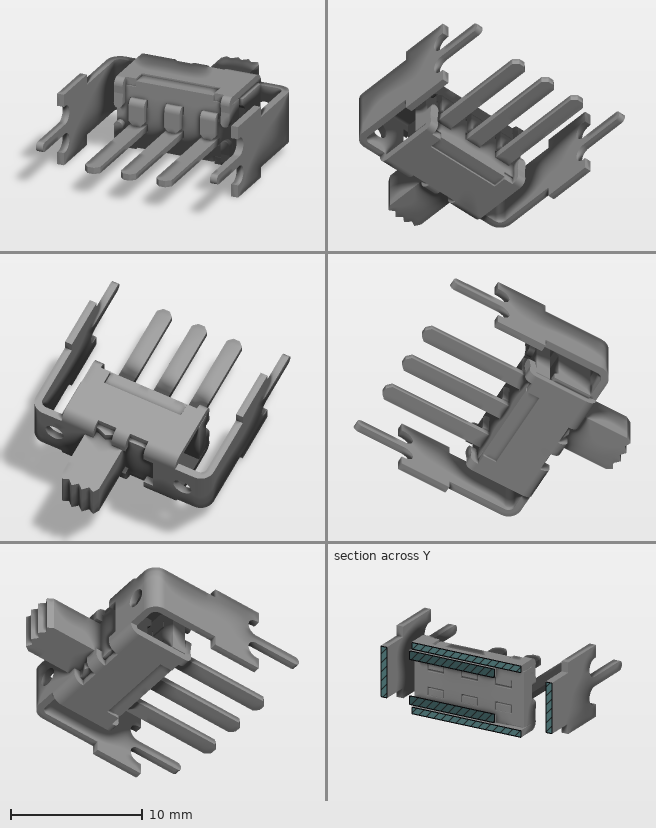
import cadquery as cq
import math

OVERALL_DEPTH = 18.67
LEVER_TIP_Y = 4.54
OVER = 0.19

SHEET = 0.58
FRAME_HALF_LENGTH = 7.58
FRAME_HALF_HEIGHT = 5.88 / 2
LEG_BEND_RADIUS = 1.1
COVER_HALF_LENGTH = 4.84
COVER_BEND_RADIUS = 0.84
COVER_INNER_BEND_RADIUS = 0.19
COVER_END_Y = -5.17
PLATE_HALF_HEIGHT = 2.1

WING_START_Y = -6.03
WING_END_Y = -10.23
RELIEF_DIAMETER = 1.53
RELIEF_BOTTOM_Y = -9.25
FINGER_WIDTH = 0.78
FINGER_END_Y = LEVER_TIP_Y - OVERALL_DEPTH

MOUNTING_HOLE_DIAMETER = 1.53
MOUNTING_HOLE_X = 5.45
WINDOW_HALF_LENGTH = 2.95
WINDOW_HALF_HEIGHT = 1.6
NOTCH_WIDTH = 1.57
NOTCH_X = 1.36
CUTOUT_HALF_LENGTH = 3.29
CUTOUT_START_Y = -4.07

TAB_WIDTH = 0.73
TAB_TIP_Z = 0.58
TAB_KINK_Z = 1.75
TAB_KINK_RISE = 0.05
TAB_FLARE = 0.13

BASE_FRONT_Y = CUTOUT_START_Y
BASE_BACK_Y = -5.25
BASE_HALF_HEIGHT = 2.28
BOSS_HALF_LENGTH = 3.23
BOSS_HALF_HEIGHT = 2.76
SLOT_WIDTH = 1.51
SLOT_OUTER_Z = 1.36
SLOT_INNER_Z = 0.63

TERMINAL_COUNT = 3
TERMINAL_PITCH = 2.99
TERMINAL_WIDTH = 1.29
TERMINAL_THICKNESS = 0.52
PIN_TOP_Z = -0.78
PIN_END_Y = FINGER_END_Y
HOOK_TAPER = 0.37
PIN_CHAMFER = 0.37
PIN_EDGE_RADIUS = 0.07

SLIDER_OFFSET = 1.29
SLIDER_HALF_LENGTH = 3.79
SLIDER_HALF_HEIGHT = 2.22
SLIDER_FRONT_Y = -0.6
SLIDER_BACK_Y = -3.8
CHANNEL_MOUTH_HALF = 1.66
CHANNEL_FLOOR_HALF = 1.29
CHANNEL_DEPTH = 0.37
LEVER_HALF_LENGTH = 1.59
LEVER_HALF_HEIGHT = 1.57
DETENT_HALF_LENGTH = 0.7
DETENT_HEIGHT = 0.3

COVER_INNER_Z = FRAME_HALF_HEIGHT - SHEET


def box(x_min, x_max, y_min, y_max, z_min, z_max):
    """Block given by its limits along each axis."""
    size = (x_max - x_min, y_max - y_min, z_max - z_min)
    return cq.Workplane("XY").box(*size, centered=False).translate((x_min, y_min, z_min))


def centered_box(half_length, y_min, y_max, half_height):
    """Block that is symmetric about x = 0 and z = 0."""
    return box(-half_length, half_length, y_min, y_max, -half_height, half_height)


def make_cover():
    """Channel round the switch: front wall, top and bottom, open at both ends."""
    shell = centered_box(COVER_HALF_LENGTH, COVER_END_Y, 0, FRAME_HALF_HEIGHT)
    shell = shell.edges("|X and >Y").fillet(COVER_BEND_RADIUS)
    room = centered_box(COVER_HALF_LENGTH + OVER, COVER_END_Y - OVER, -SHEET, COVER_INNER_Z)
    room = room.edges("|X and >Y").fillet(COVER_INNER_BEND_RADIUS)
    return shell.cut(room)


def leg_outline():
    """Side outline of a leg, with two round reliefs that leave a finger between them."""
    relief_radius = RELIEF_DIAMETER / 2
    relief_y = RELIEF_BOTTOM_Y - relief_radius
    finger_half = FINGER_WIDTH / 2
    relief_outer_z = finger_half + RELIEF_DIAMETER
    relief_middle_z = finger_half + relief_radius
    finger_arc_y = FINGER_END_Y + finger_half
    outline = (
        cq.Workplane("YZ")
        .moveTo(0, PLATE_HALF_HEIGHT)
        .lineTo(WING_START_Y, PLATE_HALF_HEIGHT)
        .lineTo(WING_START_Y, FRAME_HALF_HEIGHT)
        .lineTo(WING_END_Y, FRAME_HALF_HEIGHT)
        .lineTo(WING_END_Y, relief_outer_z)
        .lineTo(relief_y, relief_outer_z)
        .threePointArc((RELIEF_BOTTOM_Y, relief_middle_z), (relief_y, finger_half))
        .lineTo(finger_arc_y, finger_half)
        .threePointArc((FINGER_END_Y, 0), (finger_arc_y, -finger_half))
        .lineTo(relief_y, -finger_half)
        .threePointArc((RELIEF_BOTTOM_Y, -relief_middle_z), (relief_y, -relief_outer_z))
        .lineTo(WING_END_Y, -relief_outer_z)
        .lineTo(WING_END_Y, -FRAME_HALF_HEIGHT)
        .lineTo(WING_START_Y, -FRAME_HALF_HEIGHT)
        .lineTo(WING_START_Y, -PLATE_HALF_HEIGHT)
        .lineTo(0, -PLATE_HALF_HEIGHT)
        .close()
    )
    return outline.extrude(FRAME_HALF_LENGTH, both=True)


def make_bracket():
    """Front plate bent back into a leg at each end."""
    strip = centered_box(FRAME_HALF_LENGTH, FINGER_END_Y, 0, FRAME_HALF_HEIGHT)
    strip = strip.edges("|Z and >Y").fillet(LEG_BEND_RADIUS)
    inner_half_length = FRAME_HALF_LENGTH - SHEET
    room = centered_box(inner_half_length, FINGER_END_Y - OVER, -SHEET, FRAME_HALF_HEIGHT + OVER)
    room = room.edges("|Z and >Y").fillet(LEG_BEND_RADIUS - SHEET)
    return strip.cut(room).intersect(leg_outline())


def make_tab():
    """Corner tab at +X, +Z: bent down over the base, leaning in and then flaring out."""
    outer_y = BASE_BACK_Y - SHEET
    bend_middle = SHEET / math.sqrt(2)
    tab = (
        cq.Workplane("YZ")
        .moveTo(COVER_END_Y, COVER_INNER_Z)
        .lineTo(COVER_END_Y, FRAME_HALF_HEIGHT)
        .lineTo(BASE_BACK_Y, FRAME_HALF_HEIGHT)
        .threePointArc(
            (BASE_BACK_Y - bend_middle, COVER_INNER_Z + bend_middle),
            (outer_y, COVER_INNER_Z),
        )
        .lineTo(outer_y + TAB_KINK_RISE, TAB_KINK_Z)
        .lineTo(outer_y + TAB_KINK_RISE - TAB_FLARE, TAB_TIP_Z)
        .lineTo(BASE_BACK_Y - TAB_FLARE, TAB_TIP_Z)
        .lineTo(BASE_BACK_Y, TAB_KINK_Z)
        .lineTo(BASE_BACK_Y, COVER_INNER_Z)
        .close()
        .extrude(TAB_WIDTH)
    )
    tip_radius = TAB_WIDTH / 2
    tip_center_z = TAB_TIP_Z + tip_radius
    rounded = (
        cq.Workplane("XZ")
        .moveTo(0, FRAME_HALF_HEIGHT)
        .lineTo(0, tip_center_z)
        .threePointArc((tip_radius, TAB_TIP_Z), (TAB_WIDTH, tip_center_z))
        .lineTo(TAB_WIDTH, FRAME_HALF_HEIGHT)
        .close()
        .extrude(-2 * BASE_BACK_Y)
    )
    return tab.intersect(rounded).translate((COVER_HALF_LENGTH - TAB_WIDTH, 0, 0))


def make_frame():
    frame = make_cover().union(make_bracket())

    tab = make_tab()
    for tab_row in (tab, tab.mirror("XY")):
        frame = frame.union(tab_row).union(tab_row.mirror("YZ"))

    frame = frame.cut(centered_box(WINDOW_HALF_LENGTH, -SHEET - OVER, OVER, WINDOW_HALF_HEIGHT))
    notch = centered_box(NOTCH_WIDTH / 2, -COVER_BEND_RADIUS, OVER, FRAME_HALF_HEIGHT + OVER)
    for side in (-1, 1):
        frame = frame.cut(notch.translate((side * NOTCH_X, 0, 0)))

    frame = frame.cut(
        centered_box(CUTOUT_HALF_LENGTH, COVER_END_Y - OVER, CUTOUT_START_Y, FRAME_HALF_HEIGHT + OVER)
    )

    holes = (
        cq.Workplane("XZ")
        .pushPoints([(-MOUNTING_HOLE_X, 0), (MOUNTING_HOLE_X, 0)])
        .circle(MOUNTING_HOLE_DIAMETER / 2)
        .extrude(SHEET + OVER)
    )
    return frame.cut(holes)


def make_hook():
    """Arm through the upper slot that bends down behind the base to a tapered tip."""
    hook_back_y = BASE_BACK_Y - TERMINAL_THICKNESS
    arm_bottom_z = SLOT_OUTER_Z - TERMINAL_THICKNESS
    bend_middle = TERMINAL_THICKNESS / math.sqrt(2)
    hook = (
        cq.Workplane("YZ")
        .moveTo(BASE_FRONT_Y, arm_bottom_z)
        .lineTo(BASE_FRONT_Y, SLOT_OUTER_Z)
        .lineTo(BASE_BACK_Y, SLOT_OUTER_Z)
        .threePointArc(
            (BASE_BACK_Y - bend_middle, arm_bottom_z + bend_middle),
            (hook_back_y, arm_bottom_z),
        )
        .lineTo(hook_back_y, PIN_TOP_Z)
        .lineTo(BASE_BACK_Y, PIN_TOP_Z)
        .lineTo(BASE_BACK_Y, arm_bottom_z)
        .close()
        .extrude(TERMINAL_WIDTH / 2, both=True)
    )
    return hook.edges("|Y and <Z").chamfer(HOOK_TAPER)


def make_pin():
    """Straight pin through the lower slot, with a chamfered end."""
    half_width = TERMINAL_WIDTH / 2
    bottom_z = PIN_TOP_Z - TERMINAL_THICKNESS
    pin = box(-half_width, half_width, PIN_END_Y, BASE_FRONT_Y, bottom_z, PIN_TOP_Z)
    pin = pin.edges("|Z and <Y").chamfer(PIN_CHAMFER)
    return pin.edges("|Z and (not >Y)").fillet(PIN_EDGE_RADIUS)


def make_base():
    """Insulating block that closes the cover and carries the terminals."""
    base = centered_box(COVER_HALF_LENGTH, BASE_BACK_Y, BASE_FRONT_Y, BASE_HALF_HEIGHT)
    base = base.union(centered_box(BOSS_HALF_LENGTH, BASE_BACK_Y, BASE_FRONT_Y, BOSS_HALF_HEIGHT))

    half_slot = SLOT_WIDTH / 2
    slot = box(
        -half_slot, half_slot, BASE_BACK_Y - OVER, BASE_FRONT_Y + OVER, SLOT_INNER_Z, SLOT_OUTER_Z
    )
    terminal = make_hook().union(make_pin())
    for index in range(TERMINAL_COUNT):
        place = ((index - (TERMINAL_COUNT - 1) / 2) * TERMINAL_PITCH, 0, 0)
        base = base.cut(slot.translate(place)).cut(slot.mirror("XY").translate(place))
        base = base.union(terminal.translate(place))
    return base


def make_lever():
    """Lever through the window, with a serrated thumb grip at its tip."""
    shoulder = (LEVER_HALF_LENGTH, 0.65)
    side_peak = (1.3, 0.19)
    side_valley = (0.85, 0.43)
    main_peak = (0.43, 0)
    middle_valley = (0, 0.37)
    half_grip = [shoulder, side_peak, side_valley, main_peak]
    left = [(-x, LEVER_TIP_Y - depth) for x, depth in half_grip]
    middle = [(middle_valley[0], LEVER_TIP_Y - middle_valley[1])]
    right = [(x, LEVER_TIP_Y - depth) for x, depth in reversed(half_grip)]
    root = [(LEVER_HALF_LENGTH, SLIDER_FRONT_Y), (-LEVER_HALF_LENGTH, SLIDER_FRONT_Y)]
    outline = left + middle + right + root
    return cq.Workplane("XY").polyline(outline).close().extrude(LEVER_HALF_HEIGHT, both=True)


def make_detent():
    """Ridge on the slider front that settles in the notches of the frame."""
    ridge = [
        (-DETENT_HALF_LENGTH, SLIDER_FRONT_Y),
        (0, SLIDER_FRONT_Y + DETENT_HEIGHT),
        (DETENT_HALF_LENGTH, SLIDER_FRONT_Y),
    ]
    return cq.Workplane("XY").polyline(ridge).close().extrude(SLIDER_HALF_HEIGHT, both=True)


def make_slider():
    slider = centered_box(SLIDER_HALF_LENGTH, SLIDER_BACK_Y, SLIDER_FRONT_Y, SLIDER_HALF_HEIGHT)
    slider = slider.union(make_lever()).union(make_detent())

    floor_y = SLIDER_BACK_Y + CHANNEL_DEPTH
    channel = (
        cq.Workplane("YZ")
        .polyline([
            (SLIDER_BACK_Y, CHANNEL_MOUTH_HALF),
            (floor_y, CHANNEL_FLOOR_HALF),
            (floor_y, -CHANNEL_FLOOR_HALF),
            (SLIDER_BACK_Y, -CHANNEL_MOUTH_HALF),
        ])
        .close()
        .extrude(SLIDER_HALF_LENGTH, both=True)
    )
    return slider.cut(channel).translate((SLIDER_OFFSET, 0, 0))


frame = make_frame()
base = make_base()
slider = make_slider()

result = cq.Compound.makeCompound([body.solids().val() for body in (frame, base, slider)])